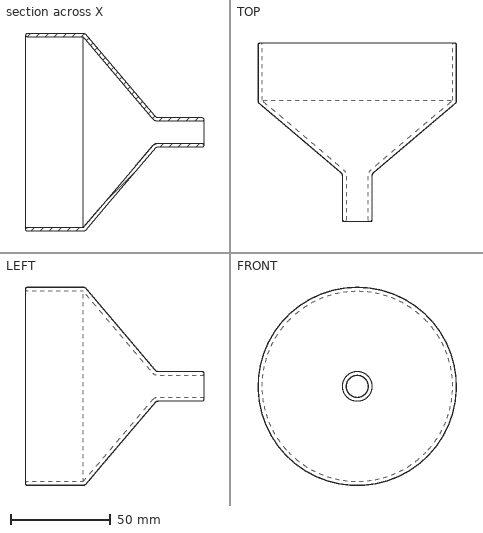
import cadquery as cq
import math

wall = 2.0
cup_radius = 50.0
spout_radius = 7.5
overall_length = 90.0
cup_length = 30.0
spout_length = 24.0
bend_radius = 2.0
edge_radius = wall / 2

rim_y = 0.0
shoulder_y = rim_y - cup_length
tip_y = rim_y - overall_length
neck_y = tip_y + spout_length

cavity_radius = cup_radius - wall
bore_radius = spout_radius - wall

cone_angle = math.atan2(cup_radius - spout_radius, shoulder_y - neck_y)
inner_shift = wall * math.tan(cone_angle / 2)
inner_bend_radius = bend_radius + wall


def blend_corner(radius, y, bend, cone_side):
    """Start, middle and end of the arc rounding a corner between a cylinder and the cone.

    cone_side is +1 where the cone lies outside the cylinder radius (neck) and -1 where
    it lies inside (shoulder). Points run from the cylinder side to the cone side.
    """
    tangent_length = bend * math.tan(cone_angle / 2)
    center_radius = radius + cone_side * bend
    center_y = y - cone_side * tangent_length

    def arc_point(angle):
        return (
            center_y + cone_side * bend * math.sin(angle),
            center_radius - cone_side * bend * math.cos(angle),
        )

    return [arc_point(0), arc_point(cone_angle / 2), arc_point(cone_angle)]


def round_edge(profile, end_y, outward, start_radius, end_radius):
    """Add two quarter arcs across the wall, meeting on its mid-line at end_y.

    outward is the Y direction (+1 or -1) in which the wall ends.
    """
    middle_radius = (start_radius + end_radius) / 2
    base_y = end_y - outward * edge_radius
    diagonal = edge_radius * math.sqrt(0.5)
    for side_radius, finish in (
        (start_radius, (end_y, middle_radius)),
        (end_radius, (base_y, end_radius)),
    ):
        side = math.copysign(diagonal, side_radius - middle_radius)
        profile = profile.threePointArc((base_y + outward * diagonal, middle_radius + side), finish)
    return profile


def add_bend(profile, start, middle, end):
    """Run straight to a bend and follow its arc."""
    return profile.lineTo(*start).threePointArc(middle, end)


def make_funnel():
    """Revolve the wall section, drawn with local x along Y and local y along Z."""
    shoulder = blend_corner(cup_radius, shoulder_y, bend_radius, -1)
    neck = blend_corner(spout_radius, neck_y, bend_radius, 1)
    inner_neck = blend_corner(bore_radius, neck_y + inner_shift, inner_bend_radius, 1)

    section = cq.Workplane("YZ").moveTo(rim_y - edge_radius, cup_radius)
    section = add_bend(section, *shoulder)
    section = add_bend(section, *reversed(neck))
    section = section.lineTo(tip_y + edge_radius, spout_radius)
    section = round_edge(section, tip_y, -1, spout_radius, bore_radius)
    section = add_bend(section, *inner_neck)
    section = section.lineTo(shoulder_y + inner_shift, cavity_radius)
    section = section.lineTo(rim_y - edge_radius, cavity_radius)
    section = round_edge(section, rim_y, 1, cavity_radius, cup_radius)
    return section.close().revolve(360, (0, 0, 0), (1, 0, 0), clean=False)


result = make_funnel()